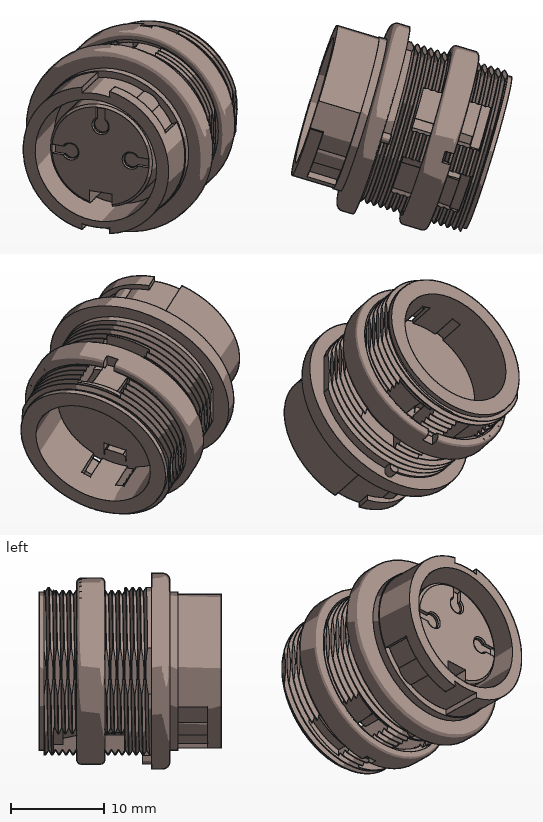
import cadquery as cq
import math

length = 19.5

socket_radius = 8.4
shell_radius = 8.5
flange_radius = 10.5
flange_rounding = 0.8
step_y = 4.65
flange_front_y = 5.5
flange_back_y = 7.48

crest_radius = 8.99
root_radius = 8.53
thread_pitch = 0.75
thread_start_y = 8.0
thread_end_y = 18.98
thread_turns = 15
crest_land = 0.08
root_land = 0.05
cutter_margin = 0.05
flat_to_flat = 17.28

front_bore_radius = 7.004
nose_radius = 5.88
nose_chamfer = 0.27
insert_face_y = 1.35
ledge_y = flange_front_y

core_radius = 7.01
core_back_y = 13.85
sleeve_front_radius = 7.05
sleeve_radius = 7.33
sleeve_flare_y = 15.5
sleeve_back_y = 16.97
sleeve_back_radius = 7.62
rear_band_radius = 8.02
rear_bore_radius = 6.72

window_front_y = 10.4
window_back_y = 17.98
top_window_width = 5.0
bar_width = 2.98
lower_window_edge_x = 5.95

groove_floor_radius = 7.75
entry_width = 3.2
groove_front_y = 1.47
groove_end_angle = 27.0
bump_start_angle = 45.2
bump_end_angle = 61.7
bump_height = 0.25

contact_circle_radius = 3.49
contact_radius = 0.99
contact_chamfer = 0.15
keyhole_slot_width = 1.0
keyhole_depth = 0.4
keyhole_end_radius = 5.38

notch_width = 2.6
notch_top_z = -4.2
key_width = 2.44
key_top_z = -5.0
key_front_y = 6.3
key_chamfer = 0.25

pin_diameter = 1.03
pin_z = -9.45
pin_end_y = 8.46

nut_radius = 10.0
nut_bore_radius = 8.63
nut_bore_chamfer = 0.5
nut_front_y = 12.47
nut_back_y = 15.5
nut_rounding = 0.5
nut_slot_width = 1.25
nut_slot_depth = 1.0


def cylinder(radius, y_start, y_end, x=0.0, z=0.0):
    """Solid cylinder parallel to Y."""
    return cq.Workplane(
        cq.Solid.makeCylinder(radius, y_end - y_start, cq.Vector(x, y_start, z), cq.Vector(0, 1, 0))
    )


def box(x_range, y_range, z_range):
    """Box given by its limits along each axis."""
    sizes = [high - low for low, high in (x_range, y_range, z_range)]
    corner = (x_range[0], y_range[0], z_range[0])
    return cq.Workplane().box(*sizes, centered=False).translate(corner)


def section(points, y_start, y_end):
    """Prism along Y from an outline of (x, z) points."""
    return cq.Workplane("XZ", origin=(0, y_start, 0)).polyline(points).close().extrude(y_start - y_end)


def revolved(points):
    """Solid of revolution about Y from an outline of (radius, y) points."""
    return cq.Workplane("XY").polyline(points).close().revolve(360, (0, 0), (0, 1))


def polar(radius, degrees):
    """Point (x, z) at an angle measured from +X towards +Z."""
    angle = math.radians(degrees)
    return (radius * math.cos(angle), radius * math.sin(angle))


def make_shell():
    """Stepped outside of the shell, with a plain cylinder where the thread is cut."""
    shell = cylinder(socket_radius, 0, step_y)
    shell = shell.union(cylinder(shell_radius, step_y, length))
    flange = cylinder(flange_radius, flange_front_y, flange_back_y)
    shell = shell.union(flange.faces("<Y").edges().fillet(flange_rounding))
    return shell.union(cylinder(crest_radius, flange_back_y, thread_end_y))


def helix(radius, y_start):
    """One turn of the thread helix about Y."""
    return cq.Wire.makeHelix(
        thread_pitch, thread_pitch, radius, cq.Vector(0, y_start, 0), cq.Vector(0, 1, 0)
    )


def thread_cutter():
    """Helical V-groove that starts at the underside and runs out past the rear end of the thread.

    Each flank is made turn by turn as a ruled face between two helices.
    """
    half_root = root_land / 2
    half_mouth = (thread_pitch - crest_land) / 2
    slope = (half_mouth - half_root) / (crest_radius - root_radius)
    outer_radius = crest_radius + cutter_margin
    half_outer = half_mouth + slope * cutter_margin
    corners = [
        (root_radius, -half_root),
        (outer_radius, -half_outer),
        (outer_radius, half_outer),
        (root_radius, half_root),
    ]
    faces = []
    for turn in range(thread_turns):
        turn_y = thread_start_y + turn * thread_pitch
        edges = [helix(radius, turn_y + offset) for radius, offset in corners]
        if turn == 0:
            start_points = [edge.startPoint() for edge in edges]
        for edge, next_edge in zip(edges, edges[1:] + edges[:1]):
            faces.append(cq.Face.makeRuledSurface(edge, next_edge))
    end_points = [edge.endPoint() for edge in edges]
    for points in (start_points, end_points):
        faces.append(cq.Face.makeFromWires(cq.Wire.makePolygon(points, close=True)))
    groove = cq.Workplane(cq.Solid.makeSolid(cq.Shell.makeShell(faces)))
    start_angle = math.degrees(math.atan2(start_points[0].z, start_points[0].x))
    return groove.rotate((0, 0, 0), (0, 1, 0), start_angle + 90)


def flat_cutters():
    """Flats on the -X and +X sides of the threaded length."""
    y_range = (flange_back_y, length)
    z_range = (-flange_radius, flange_radius)
    right_side = box((flat_to_flat / 2, flange_radius), y_range, z_range)
    left_side = box((-flange_radius, -flat_to_flat / 2), y_range, z_range)
    return right_side.union(left_side)


def front_socket():
    """Ring-shaped space around the chamfered nose of the insert."""
    nose = cylinder(nose_radius, insert_face_y, ledge_y)
    nose = nose.faces("<Y").edges().chamfer(nose_chamfer)
    return cylinder(front_bore_radius, 0, ledge_y).cut(nose)


def sleeve_envelope():
    """Solid of revolution that the windows leave standing: flared sleeve and rear band."""
    return revolved(
        [
            (0, window_front_y),
            (sleeve_front_radius, window_front_y),
            (sleeve_radius, sleeve_flare_y),
            (sleeve_back_radius, sleeve_back_y),
            (rear_band_radius, sleeve_back_y),
            (rear_band_radius, window_back_y),
            (0, window_back_y),
        ]
    )


def window_cutters():
    """One window on top and two below, cut down to the sleeve and the rear band."""
    y_range = (window_front_y, window_back_y)
    half_bar = bar_width / 2
    half_top = top_window_width / 2
    cutters = box((-half_top, half_top), y_range, (0, flange_radius))
    for x_range in ((half_bar, lower_window_edge_x), (-lower_window_edge_x, -half_bar)):
        cutters = cutters.union(box(x_range, y_range, (-flange_radius, 0)))
    return cutters.cut(sleeve_envelope())


def sleeve_slots():
    """Slots beside the bar, through the top and bottom of the sleeve but not into the insert core."""
    y_range = (window_front_y, sleeve_back_y)
    z_range = (-sleeve_back_radius, sleeve_back_radius)
    half_bar = bar_width / 2
    half_top = top_window_width / 2
    slots = box((half_bar, half_top), y_range, z_range)
    slots = slots.union(box((-half_top, -half_bar), y_range, z_range))
    return slots.cut(cylinder(core_radius, window_front_y, core_back_y))


def make_pin():
    """Locating pin with a square top and a half-round underside."""
    radius = pin_diameter / 2
    pin = cylinder(radius, flange_back_y, pin_end_y, z=pin_z)
    return pin.union(box((-radius, radius), (flange_back_y, pin_end_y), (pin_z, pin_z + radius)))


def bayonet_cutter():
    """Axial entry and sideways run of one bayonet groove, with a detent bump on its floor."""
    reach = flange_radius
    half_entry = entry_width / 2
    entry = box((-half_entry, half_entry), (0, step_y), (0, reach))
    end_point = polar(2 * reach, groove_end_angle)
    run = section([(0, 0), end_point, (end_point[0], 2 * reach), (0, 2 * reach)], groove_front_y, step_y)
    bump_middle = (bump_start_angle + bump_end_angle) / 2
    bump = (
        cq.Workplane("XZ", origin=(0, groove_front_y, 0))
        .moveTo(0, 0)
        .lineTo(*polar(groove_floor_radius, bump_start_angle))
        .threePointArc(
            polar(groove_floor_radius + bump_height, bump_middle),
            polar(groove_floor_radius, bump_end_angle),
        )
        .close()
        .extrude(groove_front_y - step_y)
    )
    ring = cylinder(shell_radius, 0, step_y).cut(cylinder(groove_floor_radius, 0, step_y))
    return entry.union(run).intersect(ring).cut(bump)


def keyhole_cutter():
    """Contact recess on the +X side: a chamfered round hole with a slot towards the rim."""
    floor_y = insert_face_y + keyhole_depth
    hole = cylinder(contact_radius - contact_chamfer, insert_face_y, floor_y, x=contact_circle_radius)
    chamfer = cq.Solid.makeCone(
        contact_radius,
        contact_radius - contact_chamfer,
        contact_chamfer,
        cq.Vector(contact_circle_radius, insert_face_y, 0),
        cq.Vector(0, 1, 0),
    )
    slot = (
        cq.Workplane("XY")
        .polyline(
            [
                (contact_circle_radius, insert_face_y),
                (nose_radius - nose_chamfer, insert_face_y),
                (keyhole_end_radius, floor_y),
                (contact_circle_radius, floor_y),
            ]
        )
        .close()
        .extrude(keyhole_slot_width / 2, both=True)
    )
    return hole.union(cq.Workplane(chamfer)).union(slot)


def notch_cutter():
    """Notch along the underside of the insert, partly filled by the polarising key."""
    half_notch = notch_width / 2
    half_key = key_width / 2
    notch = box((-half_notch, half_notch), (0, core_back_y), (-nose_radius, notch_top_z))
    key = section(
        [
            (-half_key, -nose_radius),
            (half_key, -nose_radius),
            (half_key, key_top_z - key_chamfer),
            (half_key - key_chamfer, key_top_z),
            (key_chamfer - half_key, key_top_z),
            (-half_key, key_top_z - key_chamfer),
        ],
        key_front_y,
        core_back_y,
    )
    return notch.cut(key)


def make_nut():
    """Round nut with a chamfered bore and a driving slot on top and bottom of its rear face."""
    nut = cylinder(nut_radius, nut_front_y, nut_back_y).edges().fillet(nut_rounding)
    mouth_radius = nut_bore_radius + nut_bore_chamfer
    bore = revolved(
        [
            (0, nut_front_y),
            (mouth_radius, nut_front_y),
            (nut_bore_radius, nut_front_y + nut_bore_chamfer),
            (nut_bore_radius, nut_back_y - nut_bore_chamfer),
            (mouth_radius, nut_back_y),
            (0, nut_back_y),
        ]
    )
    nut = nut.cut(bore)
    half_slot = nut_slot_width / 2
    slot_y_range = (nut_back_y - nut_slot_depth, nut_back_y)
    return nut.cut(box((-half_slot, half_slot), slot_y_range, (-flange_radius, flange_radius)))


body = make_shell()
body = body.cut(front_socket())
body = body.cut(cylinder(rear_bore_radius, core_back_y, length))
for turn in (0, 180):
    body = body.cut(bayonet_cutter().rotate((0, 0, 0), (0, 1, 0), turn))
for turn in (0, 180, 270):
    body = body.cut(keyhole_cutter().rotate((0, 0, 0), (0, 1, 0), turn))
body = body.cut(notch_cutter())
body = body.union(make_pin())

body = body.cut(thread_cutter(), clean=False)
body = body.cut(window_cutters().union(sleeve_slots()).union(flat_cutters()), clean=False)
body = body.union(make_nut(), clean=False)

result = cq.Workplane(body.solids().val())